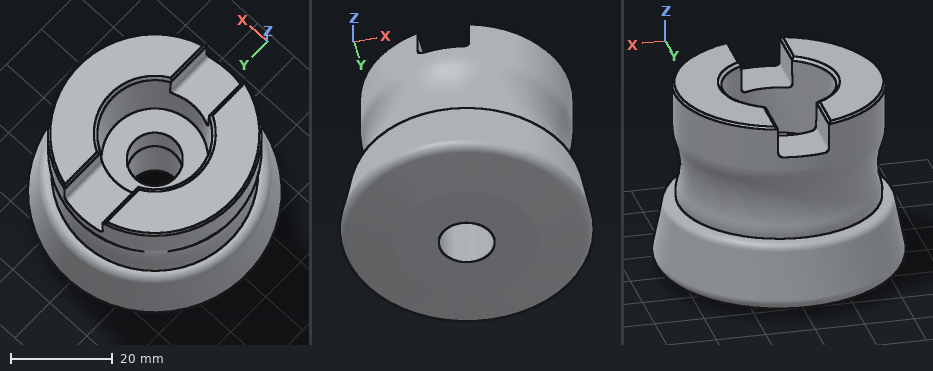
import cadquery as cq
import math

total_height = 40.0
screw_hole_diameter = 11.0

foot_radius = 24.95
foot_height = 15.5
foot_flat_radius = 14.2
foot_rim_radius = 2.0
foot_slope = math.radians(11.0)

collar_top_radius = 42.0 / 2
collar_bulge_radius = 40.7 / 2
waist_radius = 19.45
waist_height = 22.35
waist_arc_radius = 15.0
blend_arc_radius = 7.5
collar_chamfer = 0.45

bore_floor_diameter = 20.95
bore_floor_height = 23.95
bore_taper = math.radians(3.0)
bore_mouth_diameter = 23.95
bore_mouth_chamfer = 0.65

slot_width = 10.3
slot_depth = 6.5
slot_fillet = 1.0
slot_mouth_chamfer = 0.5


def circle_point(center, radius, angle):
    return (center[0] + radius * math.cos(angle), center[1] + radius * math.sin(angle))


def drill(body, diameter, bottom, top):
    cutter = cq.Workplane("XY").workplane(offset=bottom).circle(diameter / 2).extrude(top - bottom)
    return body.cut(cutter)


def revolve_profile(profile):
    return profile.close().revolve(360, (0, 0, 0), (0, 1, 0))


def make_foot():
    lower_r = foot_radius - foot_rim_radius
    underside_angle = foot_slope - math.pi / 2
    underside_r = lower_r + foot_rim_radius * math.cos(underside_angle)
    underside_z = (underside_r - foot_flat_radius) * math.tan(foot_slope)
    lower_center = (lower_r, underside_z - foot_rim_radius * math.sin(underside_angle))

    upper_z = foot_height - foot_rim_radius
    upper_r = lower_r - (upper_z - lower_center[1]) * math.tan(foot_slope)
    upper_center = (upper_r, upper_z)

    lower_middle_angle = (underside_angle + foot_slope) / 2
    upper_middle_angle = (foot_slope + math.pi / 2) / 2
    profile = (
        cq.Workplane("XZ")
        .lineTo(foot_flat_radius, 0)
        .lineTo(underside_r, underside_z)
        .threePointArc(
            circle_point(lower_center, foot_rim_radius, lower_middle_angle),
            circle_point(lower_center, foot_rim_radius, foot_slope),
        )
        .lineTo(*circle_point(upper_center, foot_rim_radius, foot_slope))
        .threePointArc(
            circle_point(upper_center, foot_rim_radius, upper_middle_angle),
            (upper_r, foot_height),
        )
        .lineTo(0, foot_height)
    )
    return drill(revolve_profile(profile), screw_hole_diameter, 0, foot_height)


def blend_angle(outer_radius):
    """Angle from horizontal at which a blend arc meets the waist arc."""
    center_gap = waist_radius + waist_arc_radius - (outer_radius - blend_arc_radius)
    return math.acos(center_gap / (waist_arc_radius + blend_arc_radius))


def make_collar_blank():
    center_distance = waist_arc_radius + blend_arc_radius
    base_angle = blend_angle(collar_bulge_radius)
    top_angle = blend_angle(collar_top_radius)
    base_center = (
        collar_bulge_radius - blend_arc_radius,
        waist_height - center_distance * math.sin(base_angle),
    )
    top_center = (
        collar_top_radius - blend_arc_radius,
        waist_height + center_distance * math.sin(top_angle),
    )
    foot_angle = math.asin((foot_height - base_center[1]) / blend_arc_radius)
    profile = (
        cq.Workplane("XZ")
        .moveTo(0, foot_height)
        .lineTo(*circle_point(base_center, blend_arc_radius, foot_angle))
        .threePointArc(
            circle_point(base_center, blend_arc_radius, (foot_angle + base_angle) / 2),
            circle_point(base_center, blend_arc_radius, base_angle),
        )
        .threePointArc(
            (waist_radius, waist_height),
            circle_point(top_center, blend_arc_radius, -top_angle),
        )
        .threePointArc(
            circle_point(top_center, blend_arc_radius, -top_angle / 2),
            (collar_top_radius, top_center[1]),
        )
        .lineTo(collar_top_radius, total_height - collar_chamfer)
        .lineTo(collar_top_radius - collar_chamfer, total_height)
        .lineTo(0, total_height)
    )
    return revolve_profile(profile)


def make_bore_cutter():
    floor_radius = bore_floor_diameter / 2
    chamfer_z = total_height - bore_mouth_chamfer
    chamfer_radius = floor_radius + (chamfer_z - bore_floor_height) * math.tan(bore_taper)
    profile = (
        cq.Workplane("XZ")
        .moveTo(0, bore_floor_height)
        .lineTo(floor_radius, bore_floor_height)
        .lineTo(chamfer_radius, chamfer_z)
        .lineTo(bore_mouth_diameter / 2, total_height)
        .lineTo(0, total_height)
    )
    return revolve_profile(profile)


def make_slot_cutter():
    slot_length = 2 * foot_radius
    half_width = slot_width / 2
    slot = (
        cq.Workplane("XY")
        .workplane(offset=total_height - slot_depth)
        .rect(slot_width, slot_length)
        .extrude(slot_depth)
        .edges("|Y and <Z")
        .fillet(slot_fillet)
    )
    mouth = (
        cq.Workplane("XZ", origin=(0, slot_length / 2, 0))
        .moveTo(-half_width, total_height - slot_mouth_chamfer)
        .lineTo(half_width, total_height - slot_mouth_chamfer)
        .lineTo(half_width + slot_mouth_chamfer, total_height)
        .lineTo(-half_width - slot_mouth_chamfer, total_height)
        .close()
        .extrude(slot_length)
    )
    return slot.union(mouth)


def make_collar():
    collar = make_collar_blank().cut(make_bore_cutter()).cut(make_slot_cutter())
    return drill(collar, screw_hole_diameter, foot_height, total_height)


foot = make_foot()
collar = make_collar()
result = cq.Compound.makeCompound([foot.val(), collar.val()])